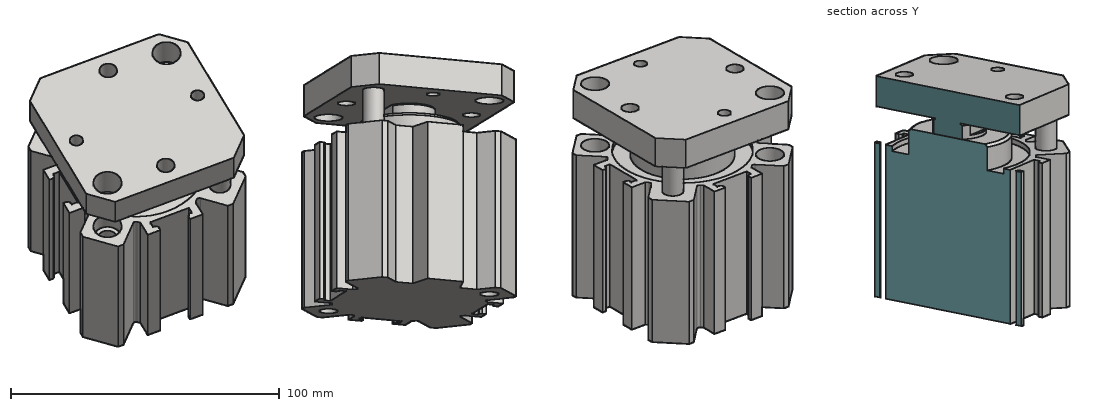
import cadquery as cq
import math

body_width = 67.0
body_height = 60.0
half_body = body_width / 2
corner_cut = 9.8
pad_width = 2.2
slot_floor = 28.2

rib_tip = 33.2
slot_half_opening = 6.1
slot_half_width = 8.0
lip_underside = 30.7
lip_bevel = 0.9
rib_outer_wall = 11.35

valley_corner = 13.1
valley_radius = 1.0

overall_depth = 71.0
rail_tip = overall_depth - half_body
rail_tip_half_width = 7.05
rail_taper = 0.26

recess_diameter = 52.5
recess_depth = 2.0
collar_diameter = 39.0
collar_top = 68.1
collar_chamfer = 1.0

corner_offset = 23.1
bolt_hole_diameter = 7.0
bolt_head_diameter = 10.5
bolt_head_depth = 7.0
bolt_places = [(-corner_offset, corner_offset), (corner_offset, -corner_offset)]
pin_places = [(-corner_offset, -corner_offset), (corner_offset, corner_offset)]
pin_diameter = 8.0

total_height = 86
plate_width = 65.0
plate_bottom = 74.05
plate_corner_cut = 8.1
plate_hole_offset = 24.9
side_hole_diameter = 6.5
end_hole_diameter = 4.9
rod_diameter = 20.0
rod_chamfer = 0.6
rod_across_flats = 17.0
flat_bottom = 69.5


def cylinder(diameter, bottom, top, places=((0, 0),)):
    """Upright cylinders between two heights."""
    return (
        cq.Workplane("XY", origin=(0, 0, bottom))
        .pushPoints(list(places))
        .circle(diameter / 2)
        .extrude(top - bottom)
    )


def chamfered_square(width, leg, bottom, top):
    """Square block with 45 degree vertical corners."""
    return (
        cq.Workplane("XY", origin=(0, 0, bottom))
        .rect(width, width)
        .extrude(top - bottom)
        .edges("|Z")
        .chamfer(leg)
    )


def prism(points):
    """Closed outline extruded over the housing height."""
    return cq.Workplane("XY").polyline(points).close().extrude(body_height)


def flank_x(depth):
    """Offset of a corner block's 45 degree flank from the middle of a side, at a depth from the axis."""
    return depth - corner_cut - pad_width


def slot_cutter():
    """T-slot between the two ribs."""
    right = [
        (slot_half_opening, half_body),
        (slot_half_opening, lip_underside + lip_bevel),
        (slot_half_opening + lip_bevel, lip_underside),
        (slot_half_width, lip_underside),
        (slot_half_width, slot_floor),
    ]
    left = [(-x, depth) for x, depth in reversed(right)]
    return prism([(x, -depth) for x, depth in right + left])


def valley_cutter(side):
    """Groove between a rib and the corner block; side is -1 or +1 along X."""
    corner_depth = valley_corner + corner_cut + pad_width
    arc_half_width = valley_radius * math.sqrt(0.5)
    arc_end_depth = corner_depth + arc_half_width
    arc_bottom_depth = corner_depth + valley_radius * (math.sqrt(2) - 1)
    floor_end_depth = corner_depth + valley_corner - rib_outer_wall

    def place(x, depth):
        return (side * x, -depth)

    return (
        cq.Workplane("XY")
        .moveTo(*place(flank_x(half_body), half_body))
        .lineTo(*place(rib_outer_wall, half_body))
        .lineTo(*place(rib_outer_wall, floor_end_depth))
        .lineTo(*place(valley_corner - arc_half_width, arc_end_depth))
        .threePointArc(
            place(valley_corner, arc_bottom_depth),
            place(valley_corner + arc_half_width, arc_end_depth),
        )
        .close()
        .extrude(body_height)
    )


def tip_cutter():
    """Trims the two ribs slightly below the corner pads."""
    return prism([
        (-rib_outer_wall, -rib_tip),
        (rib_outer_wall, -rib_tip),
        (rib_outer_wall, -half_body),
        (-rib_outer_wall, -half_body),
    ])


def rail():
    """Tapered rail rising from the +Y side."""
    foot_half_width = rail_tip_half_width + rail_taper * (rail_tip - slot_floor)
    return prism([
        (-foot_half_width, slot_floor),
        (-rail_tip_half_width, rail_tip),
        (rail_tip_half_width, rail_tip),
        (foot_half_width, slot_floor),
    ])


def rail_side_cutter():
    """Open trough between the corner blocks on the +Y side."""
    return prism([
        (-flank_x(half_body), half_body),
        (-flank_x(slot_floor), slot_floor),
        (flank_x(slot_floor), slot_floor),
        (flank_x(half_body), half_body),
    ])


def make_housing():
    """Slotted profile with its rail, cover recess, collar and bolt holes."""
    housing = chamfered_square(body_width, corner_cut, 0, body_height)
    for angle in (-90, 0, 90):
        for cutter in (slot_cutter(), valley_cutter(-1), valley_cutter(1), tip_cutter()):
            housing = housing.cut(cutter.rotate((0, 0, 0), (0, 0, 1), angle))
    housing = housing.cut(rail_side_cutter()).union(rail())

    recess_floor = body_height - recess_depth
    housing = housing.cut(cylinder(recess_diameter, recess_floor, body_height))
    collar = cylinder(collar_diameter, recess_floor, collar_top).faces(">Z").chamfer(collar_chamfer)
    housing = housing.union(collar)

    housing = housing.cut(cylinder(bolt_hole_diameter, 0, body_height, bolt_places))
    return housing.cut(
        cylinder(bolt_head_diameter, body_height - bolt_head_depth, body_height, bolt_places)
    )


def make_rod():
    """Rod with two wrench flats facing -X and +X just below the plate."""
    rod = cylinder(rod_diameter, collar_top, plate_bottom).faces(">Z").chamfer(rod_chamfer)
    flat_depth = (rod_diameter - rod_across_flats) / 2
    flat_centre = (rod_across_flats + flat_depth) / 2
    flats = (
        cq.Workplane("XY", origin=(0, 0, flat_bottom))
        .pushPoints([(-flat_centre, 0), (flat_centre, 0)])
        .rect(flat_depth, rod_diameter)
        .extrude(plate_bottom - flat_bottom)
    )
    return rod.cut(flats)


def make_carriage():
    """Plate, rod and guide pins that move together."""
    plate = chamfered_square(plate_width, plate_corner_cut, plate_bottom, total_height)
    hole_patterns = [
        (bolt_head_diameter, bolt_places),
        (side_hole_diameter, [(-plate_hole_offset, 0), (plate_hole_offset, 0)]),
        (end_hole_diameter, [(0, -plate_hole_offset), (0, plate_hole_offset)]),
    ]
    for diameter, places in hole_patterns:
        plate = plate.cut(cylinder(diameter, plate_bottom, total_height, places))
    pins = cylinder(pin_diameter, body_height, plate_bottom, pin_places)
    return plate.union(make_rod()).union(pins)


housing = make_housing()
carriage = make_carriage()

result = cq.Compound.makeCompound([housing.val(), carriage.val()])